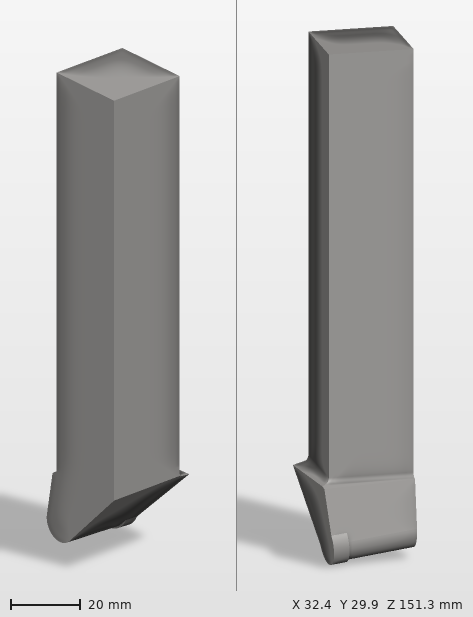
import cadquery as cq
import math

SHANK_SIDE = 25.0
TOTAL_HEIGHT = 151.3
SHOULDER_Z = 24.2
LEDGE_SLOPE = math.radians(12)
LEDGE_FILLET = 1.5
FILLET_REACH = LEDGE_FILLET * math.tan((math.pi / 2 - LEDGE_SLOPE) / 2)
FILLET_TOP_Z = SHOULDER_Z + FILLET_REACH
MARGIN = 15.1

RAKE_SLOPE = 0.097
NOSE_RADIUS = 5.8
FLANK_ANGLE = 10
HEAD_RISE = 30.3

INSERT_RADIUS = 6.4
INSERT_THICKNESS = 4.7
INSERT_CENTER = cq.Vector(-1.0, 25.9, INSERT_RADIUS)

rake_plane = cq.Plane(
    origin=INSERT_CENTER.toTuple(),
    xDir=(1, RAKE_SLOPE, 0),
    normal=(RAKE_SLOPE, -1, RAKE_SLOPE),
)


def ledge_envelope(plane_name, far_side, wall, outward):
    """Prism filling the shank and the space below one filleted ledge beside it."""
    fillet_foot = (
        wall + outward * FILLET_REACH * math.cos(LEDGE_SLOPE),
        SHOULDER_Z - FILLET_REACH * math.sin(LEDGE_SLOPE),
    )
    mid_angle = (math.pi / 2 - LEDGE_SLOPE) / 2
    fillet_middle = (
        wall + outward * LEDGE_FILLET * (1 - math.cos(mid_angle)),
        FILLET_TOP_Z - LEDGE_FILLET * math.sin(mid_angle),
    )
    outer = wall + outward * MARGIN
    return (
        cq.Workplane(plane_name)
        .moveTo(far_side, TOTAL_HEIGHT)
        .lineTo(wall, TOTAL_HEIGHT)
        .lineTo(wall, FILLET_TOP_Z)
        .threePointArc(fillet_middle, fillet_foot)
        .lineTo(outer, SHOULDER_Z - MARGIN * math.tan(LEDGE_SLOPE))
        .lineTo(outer, -MARGIN)
        .lineTo(far_side, -MARGIN)
        .close()
        .extrude(SHANK_SIDE + MARGIN, both=True)
    )


def head_prism():
    """Rounded nose with a left flank and a diagonal flank tangent to it, behind the rake face."""
    flank = math.radians(FLANK_ANGLE)
    nose_start = (-NOSE_RADIUS * math.cos(flank), NOSE_RADIUS * math.sin(flank))
    flank_run = (HEAD_RISE - nose_start[1]) * math.tan(flank)
    flank_top = (nose_start[0] + flank_run, HEAD_RISE)

    diagonal = math.acos(math.sqrt(0.5) / math.hypot(1, RAKE_SLOPE))
    nose_end = (NOSE_RADIUS * math.sin(diagonal), -NOSE_RADIUS * math.cos(diagonal))
    diagonal_run = (HEAD_RISE - nose_end[1]) / math.tan(diagonal)
    diagonal_top = (nose_end[0] + diagonal_run, HEAD_RISE)

    middle_angle = (math.pi - flank + diagonal - math.pi / 2 + 2 * math.pi) / 2
    nose_middle = (NOSE_RADIUS * math.cos(middle_angle), NOSE_RADIUS * math.sin(middle_angle))
    return (
        cq.Workplane(rake_plane)
        .moveTo(*flank_top)
        .lineTo(*nose_start)
        .threePointArc(nose_middle, nose_end)
        .lineTo(*diagonal_top)
        .close()
        .extrude(INSERT_CENTER.y + MARGIN)
    )


def make_insert():
    return cq.Workplane(rake_plane).circle(INSERT_RADIUS).extrude(INSERT_THICKNESS)


def make_holder(insert):
    side_envelope = ledge_envelope("XZ", SHANK_SIDE, 0, -1)
    back_envelope = ledge_envelope("YZ", 0, SHANK_SIDE, 1)
    head = head_prism().intersect(side_envelope).intersect(back_envelope)
    shank = (
        cq.Workplane("XY", origin=(0, 0, FILLET_TOP_Z))
        .rect(SHANK_SIDE, SHANK_SIDE, centered=False)
        .extrude(TOTAL_HEIGHT - FILLET_TOP_Z)
    )
    return shank.union(head).cut(insert)


insert = make_insert()
holder = make_holder(insert)
result = cq.Compound.makeCompound([holder.val(), insert.val()])